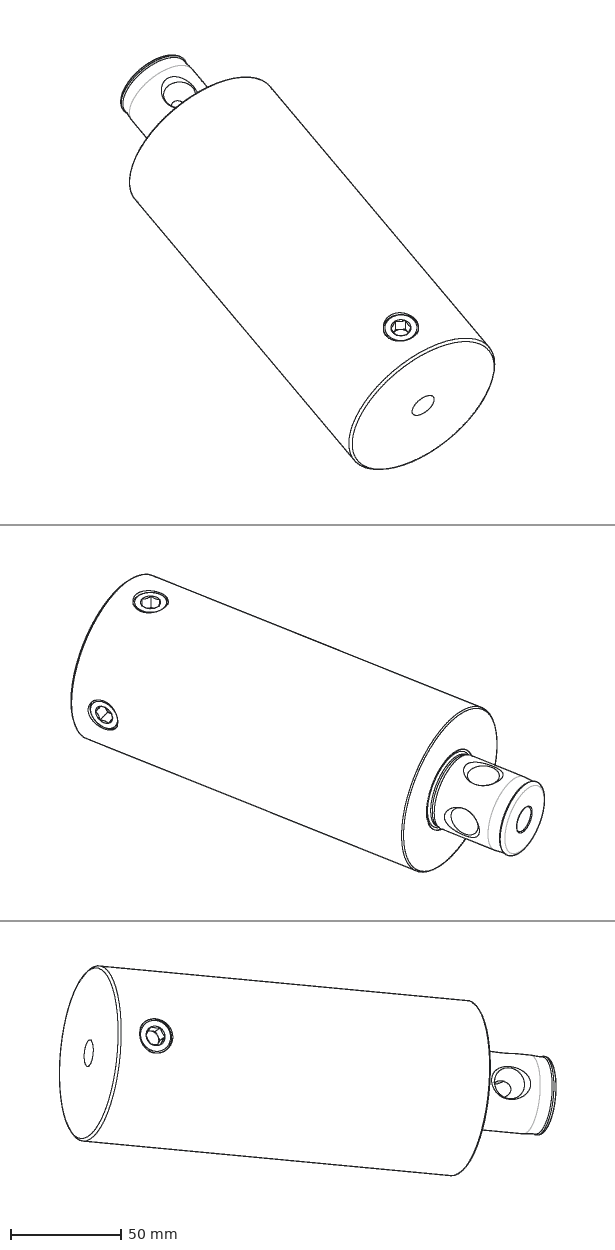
import cadquery as cq
import math

length = 220
housing_dia = 80.0
housing_start = 40.0
front_chamfer = 0.7
rear_chamfer = 1.0
bore_dia = 12.0
bore_chamfer = 0.5

shank_dia = 36.0
relief_dia = 35.2
rim_round = 1.5
rim_end = 2.2
taper_end = 8.1
neck_chamfer_start = 37.2
neck_start = 38.5
neck_flare_start = 39.4

neck_flare_dia = 37.0
recess_dia = 39.2
recess_depth = 0.5

lock_x = 22.2
lock_dia = 14.5
lock_pilot_dia = 8.0
lock_countersink_height = 15.8
lock_taper_end = 5.0

screw_x = 202.0
screw_dia = 16.0
screw_face_dia = 14.5
screw_top = 39.2
screw_length = 17.5
socket_flats = 8.0
socket_depth = 6.5
socket_drill_angle = 118

housing_radius = housing_dia / 2
shank_radius = shank_dia / 2
relief_radius = relief_dia / 2
screw_radius = screw_dia / 2
cut_clearance = 2.2
side_angles = (0, -90)


def upright_revolve(points, x):
    """Revolve (radius, Z) points about the vertical line at the given X."""
    profile = cq.Workplane("XZ").polyline(points).close()
    return profile.revolve(360, (0, 0), (0, 1)).translate((x, 0, 0))


def roll(shape, angle):
    return shape.rotate((0, 0, 0), (1, 0, 0), angle)


def turned_blank():
    arc_step = rim_round * (1 - math.sqrt(0.5))
    recess_floor = housing_start + recess_depth
    bore_radius = bore_dia / 2
    profile = (
        cq.Workplane("XY")
        .moveTo(bore_chamfer, bore_radius)
        .lineTo(0, bore_radius + bore_chamfer)
        .lineTo(0, shank_radius - rim_round)
        .threePointArc((arc_step, shank_radius - arc_step), (rim_round, shank_radius))
        .lineTo(rim_end, relief_radius)
        .lineTo(taper_end, shank_radius)
        .lineTo(neck_chamfer_start, shank_radius)
        .lineTo(neck_start, relief_radius)
        .lineTo(neck_flare_start, relief_radius)
        .lineTo(recess_floor, neck_flare_dia / 2)
        .lineTo(recess_floor, recess_dia / 2)
        .lineTo(housing_start, recess_dia / 2)
        .lineTo(housing_start, housing_radius - front_chamfer)
        .lineTo(housing_start + front_chamfer, housing_radius)
        .lineTo(length - rear_chamfer, housing_radius)
        .lineTo(length, housing_radius - rear_chamfer)
        .lineTo(length, bore_radius)
        .close()
    )
    return profile.revolve(360, (0, 0), (1, 0))


def lock_hole():
    """Countersunk hole that tapers steeply down to a pilot into the bore."""
    lock_radius = lock_dia / 2
    pilot_radius = lock_pilot_dia / 2
    mouth_height = shank_radius + cut_clearance
    mouth_radius = lock_radius + mouth_height - lock_countersink_height
    return upright_revolve(
        [
            (0, 0),
            (pilot_radius, 0),
            (pilot_radius, lock_taper_end),
            (lock_radius, lock_countersink_height),
            (mouth_radius, mouth_height),
            (0, mouth_height),
        ],
        lock_x,
    )


def screw_hole():
    """Blind hole that fits a set screw and opens through the housing's outer surface."""
    screw_bottom = screw_top - screw_length
    depth = housing_radius - screw_bottom
    return cq.Workplane("XY", origin=(screw_x, 0, screw_bottom)).circle(screw_radius).extrude(depth)


def make_housing():
    housing = turned_blank()
    for angle in side_angles:
        housing = housing.cut(roll(lock_hole(), angle))
        housing = housing.cut(roll(screw_hole(), angle))
    return housing


def make_set_screw():
    """Set screw with a chamfered top and a countersunk hexagon socket over a drill point."""
    screw_bottom = screw_top - screw_length
    face_chamfer = screw_radius - screw_face_dia / 2
    screw = (
        cq.Workplane("XY", origin=(screw_x, 0, screw_bottom))
        .circle(screw_radius)
        .extrude(screw_length)
        .faces(">Z")
        .chamfer(face_chamfer)
    )
    socket_floor = screw_top - socket_depth
    inner_radius = socket_flats / 2
    corner_radius = inner_radius / math.cos(math.pi / 6)
    socket = (
        cq.Workplane("XY", origin=(screw_x, 0, socket_floor))
        .polygon(6, 2 * corner_radius)
        .extrude(socket_depth)
    )
    countersink_depth = corner_radius - inner_radius
    countersink = upright_revolve(
        [
            (0, screw_top - countersink_depth),
            (inner_radius, screw_top - countersink_depth),
            (corner_radius, screw_top),
            (0, screw_top),
        ],
        screw_x,
    )
    point_depth = inner_radius / math.tan(math.radians(socket_drill_angle / 2))
    drill_point = upright_revolve(
        [
            (0, socket_floor - point_depth),
            (inner_radius, socket_floor),
            (0, socket_floor),
        ],
        screw_x,
    )
    return screw.cut(socket).cut(countersink).cut(drill_point)


housing = make_housing()
set_screws = [roll(make_set_screw(), angle) for angle in side_angles]

result = cq.Compound.makeCompound([housing.val(), *[screw.val() for screw in set_screws]])